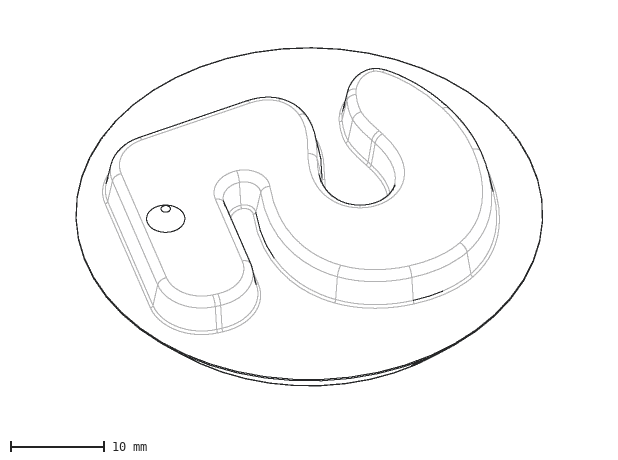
import cadquery as cq
import math

disc_radius = 24.85
disc_foot_radius = 21.85
disc_height = 4.0
rim_height = 0.2

island_height = 4.05
draft_angle = 10.0
top_fillet = 1.0
root_fillet = 0.3

pip_x = 0.0
pip_y = -16.0
pip_radius = 2.05
pip_tip_radius = 0.5
pip_height = 1.5

foot_bottom = -20.1
foot_top = -8.55
toe_x = 8.45
toe_radius = 5.45
heel_x = -7.85
heel_radius = 5.75
back_length = 12.7
back_lean = 8.4

notch_x = -1.2
notch_y = -6.65
notch_lower_radius = notch_y - foot_top
notch_upper_radius = 1.2
notch_exit_heading = -11.0

lower_head = ((15.95, 6.65), 90, 10.45, 8.8)
upper_head = ((-0.3, 19.85), 180, 8.1, 10.15)
brow = ((-15.3, 13.5), -130, 6.2, 4.2)
snout = ((-12.15, 7.35), -13, 3.15, 3.1)
inlet_entry = ((-4.75, 8.35), 21, 3.3, 3.1)
inlet_end = ((-4.4, 2.85), 163, 10.75, 11.3)
inlet_exit = ((-10.95, 3.7), 190, 2.3, 2.2)
shoulder_handle_start = 3.25
shoulder_handle_end = 3.25


def polar(start, distance, angle):
    """Point at a distance from a start point, along an angle in degrees."""
    radians = math.radians(angle)
    return (start[0] + distance * math.cos(radians), start[1] + distance * math.sin(radians))


def arc(outline, center, radius, start_angle, end_angle):
    """Add a circular arc that begins at the current point."""
    middle_angle = (start_angle + end_angle) / 2
    return outline.threePointArc(
        polar(center, radius, middle_angle), polar(center, radius, end_angle)
    )


def make_disc():
    return (
        cq.Workplane("XZ")
        .polyline([
            (0, 0),
            (disc_foot_radius, 0),
            (disc_radius, disc_height - rim_height),
            (disc_radius, disc_height),
            (0, disc_height),
        ])
        .close()
        .revolve(360, (0, 0, 0), (0, 1, 0))
    )


def island_outline():
    """Closed outline of the island at its root, counterclockwise from the heel."""
    heel_center = (heel_x, foot_bottom + heel_radius)
    toe_low_center = (toe_x, foot_bottom + toe_radius)
    toe_high_center = (toe_x, foot_top - toe_radius)
    notch_lower_center = (notch_x, notch_y)
    notch_upper_center = (notch_x - notch_lower_radius + notch_upper_radius, notch_y)

    outline = cq.Workplane("XY", origin=(0, 0, disc_height))
    outline = outline.moveTo(heel_x, foot_bottom).lineTo(toe_x, foot_bottom)
    outline = arc(outline, toe_low_center, toe_radius, -90, 0)
    outline = outline.lineTo(*polar(toe_high_center, toe_radius, 0))
    outline = arc(outline, toe_high_center, toe_radius, 0, 90)
    outline = outline.lineTo(notch_x, foot_top)
    outline = arc(outline, notch_lower_center, notch_lower_radius, 270, 180)
    notch_exit_angle = 90 + notch_exit_heading
    outline = arc(outline, notch_upper_center, notch_upper_radius, 180, notch_exit_angle)

    back_angle = 180 + back_lean
    back_heading = back_lean - 90
    back_bottom = polar(heel_center, heel_radius, back_angle)
    back_top = polar(back_bottom, -back_length, back_heading)
    shoulder = (back_top, back_heading, shoulder_handle_start, shoulder_handle_end)
    start = polar(notch_upper_center, notch_upper_radius, notch_exit_angle)
    heading = notch_exit_heading
    for end, end_heading, start_handle, end_handle in (
        lower_head, upper_head, brow, snout, inlet_entry, inlet_end, inlet_exit, shoulder
    ):
        outline = outline.bezier([
            start,
            polar(start, start_handle, heading),
            polar(end, -end_handle, end_heading),
            end,
        ])
        start = end
        heading = end_heading

    outline = outline.lineTo(*back_bottom)
    return arc(outline, heel_center, heel_radius, back_angle, 270).close()


def make_island():
    island = island_outline().extrude(island_height, taper=draft_angle)
    return island.faces(">Z").edges().fillet(top_fillet)


def make_pip():
    return cq.Workplane(
        cq.Solid.makeCone(
            pip_radius,
            pip_tip_radius,
            pip_height,
            cq.Vector(pip_x, pip_y, disc_height + island_height),
        )
    )


box_reach = 0.9 * disc_radius
box_margin = 0.05
root_box = cq.selectors.BoxSelector(
    (-box_reach, -box_reach, disc_height - box_margin),
    (box_reach, box_reach, disc_height + box_margin),
    boundingbox=True,
)

body = make_disc().union(make_island())
body = body.edges(root_box).fillet(root_fillet)
result = body.union(make_pip())